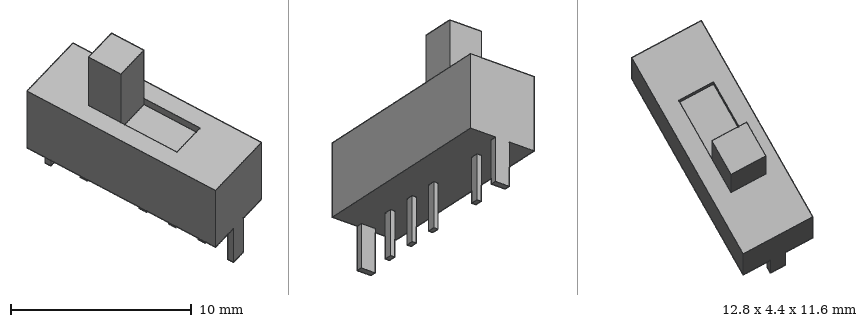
import cadquery as cq

body_length = 12.8
body_width = 4.4
body_height = 4.7

slot_length = 6.0
slot_depth = 0.5
knob_length = 2.2
knob_width = 2.2
knob_rise = 4.0

pin_pitch = 2.0
pin_positions = [-2, 0, 1, 2]
pin_thickness = 0.5
pin_width = 0.3
total_height = 11.6
pin_drop = total_height - body_height - knob_rise

tab_thickness = 0.4
tab_width = 0.96
tab_drop = 2.8


def block(length, width, bottom, top, x_center=0.0):
    """Box centred on Y = 0, spanning bottom to top in Z."""
    return (
        cq.Workplane("XY", origin=(x_center, 0, bottom))
        .rect(length, width)
        .extrude(top - bottom)
    )


result = block(body_length, body_width, 0, body_height)

slot_floor = body_height - slot_depth
result = result.cut(block(slot_length, knob_width, slot_floor, body_height))

knob_x = (knob_length - slot_length) / 2
knob_top = body_height + knob_rise
result = result.union(block(knob_length, knob_width, slot_floor, knob_top, knob_x))

for position in pin_positions:
    result = result.union(block(pin_thickness, pin_width, -pin_drop, 0, position * pin_pitch))

tab_x = (body_length - tab_thickness) / 2
for side in (-1, 1):
    result = result.union(block(tab_thickness, tab_width, -tab_drop, 0, side * tab_x))